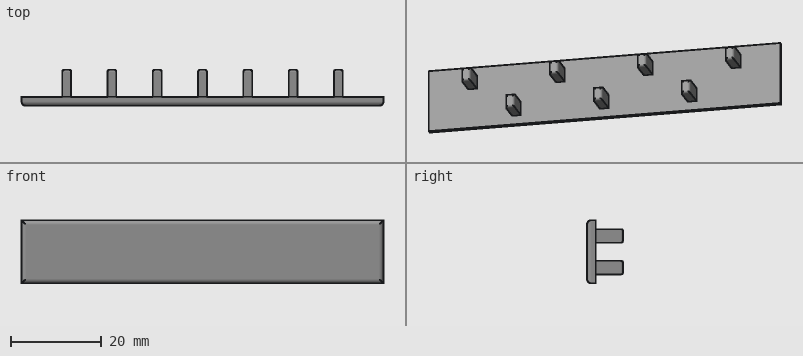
import cadquery as cq

length = 80
depth = 8
height = 14.0

plate_thickness = 2.0
rim_radius = plate_thickness / 2

peg_count = 7
peg_pitch = 10.0
peg_width = 2.0
peg_height = 3.0
peg_row_offset = height / 4
peg_length = depth - plate_thickness
tip_radius = peg_width / 4


def make_plate():
    plate = cq.Workplane("XY").box(length, plate_thickness, height, centered=(True, False, True))
    return plate.faces("<Y").edges().fillet(rim_radius)


def make_peg(x, z):
    peg = (
        cq.Workplane("XY")
        .box(peg_width, peg_length, peg_height, centered=(True, False, True))
        .faces(">Y")
        .edges()
        .fillet(tip_radius)
    )
    return peg.translate((x, plate_thickness, z))


result = make_plate()
for index in range(peg_count):
    x = (index - (peg_count - 1) / 2) * peg_pitch
    z = peg_row_offset if index % 2 == 0 else -peg_row_offset
    result = result.union(make_peg(x, z))